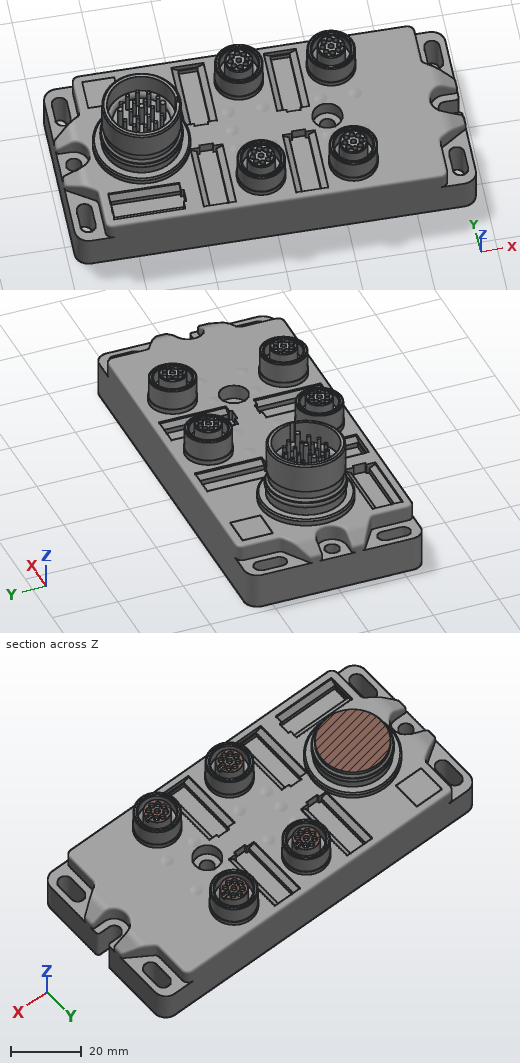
import cadquery as cq
import math

MARGIN = 0.1

LENGTH = 115.4
WIDTH = 54.0
FLANGE_Z = 11.0
TOP_Z = 15.9
BASE_CORNER_R = 4.0

MOUNT_X = 53.5
MOUNT_D = 4.4
SLOT_Y = 18.9
SLOT_LENGTH = 9.9
NOTCH_LIP_R = 0.9

BLOCK_HALF = 49.2
BLOCK_CORNER_R = 2.1
BLOCK_EDGE_R = 0.8
EAR_ROOT_Y = 13.8
EAR_ROOT_R = 1.7
EAR_TIP_Y = 8.2
EAR_SLOPE = 30.0
EAR_SLOPE_RUN = 5.3
EAR_TOP_R = 5.3
EAR_TIP_R = 1.3
POCKET_R = 4.5

SCREW_X = 19.4
SCREW_HEAD_D = 8.5
SCREW_HEAD_Z = 11.4

LABEL_LENGTH = 20.4
LABEL_WIDTH = 9.2
LABEL_FLOOR_WIDTH = 5.5
LABEL_DEPTH = 3.1
LABEL_STEP = 0.6
LABEL_SLOPE = 30.0
LABEL_CHANNEL_INSET = 0.3
LABEL_TAB_WIDTH = 3.9
LABEL_TAB_LENGTH = 0.8
LABEL_INNER_Y = 4.3
LABEL_OFFSET = 13.3
SIDE_LABEL_X = -46.5
SIDE_LABEL_Y = -19.8
SQUARE_SIZE = 9.2
SQUARE_DEPTH = 0.1

SOCKET_XS = (-2.9, 23.7)
SOCKET_Y = 17.0
SOCKET_COLLAR_D = 14.0
SOCKET_COLLAR_Z = 17.4
SOCKET_D = 13.6
SOCKET_BORE_D = 11.1
SOCKET_SHOULDER_Z = 19.6
SOCKET_RIM_Z = 23.9
SOCKET_CORE_D = 8.0
SOCKET_CORE_Z = 25.4
SOCKET_CHAMFER = 0.3
CONTACT_D = 1.5
CONTACT_CIRCLE_R = 2.4
CONTACT_COUNT = 8
CONTACT_DEPTH = 2.3
CORE_KEY_WIDTH = 1.3
CORE_KEY_DEPTH = 1.0
LAMP_D = 3.7
LAMP_HEIGHT = 0.2
LAMP_ROOT = 1.2
LAMP_Y = 6.5
LAMP_OFFSETS = (-5.0, 5.0)
MIDDLE_LAMP_X = SOCKET_XS[0] + LAMP_OFFSETS[0]

PLUG_X = -34.0
PLUG_TOP_Z = 34.9
PLUG_FLANGE_R = 13.8
PLUG_FLANGE_Z = 17.9
PLUG_BODY_R = 22.8 / 2
PLUG_BODY_Z = 22.4
PLUG_NECK_R = 21.5 / 2
PLUG_NECK_START_Z = 23.2
PLUG_HEAD_R = 22.4 / 2
PLUG_HEAD_Z = 25.8
PLUG_CHAMFER = 0.5
RING_Z = 21.2
RING_R = 0.9
RING_CENTRE_R = 10.8
CUP_R = 9.8
CUP_SHOULDER_Z = 28.0
CUP_SHOULDER_R = 1.5
CUP_FLOOR_Z = CUP_SHOULDER_Z - CUP_SHOULDER_R
CUP_KEY_WIDTH = 1.5
CUP_KEY_DEPTH = 0.6

PIN_D = 1.0
PIN_TOP_Z = 32.9
THICK_PIN_D = 1.5
THICK_PIN_TOP_Z = 34.3
OUTER_PIN_CIRCLE_R = 6.1
OUTER_PIN_COUNT = 12
INNER_PIN_CIRCLE_R = 3.1
INNER_PIN_COUNT = 6


def cylinder(x, y, z_low, z_high, diameter):
    return cq.Workplane("XY", (x, y, z_low)).circle(diameter / 2).extrude(z_high - z_low)


def ring_points(count, radius):
    step = 2 * math.pi / count
    return [(radius * math.cos(i * step), radius * math.sin(i * step)) for i in range(count)]


def base_plate():
    plate = cq.Workplane("XY").box(LENGTH, WIDTH, FLANGE_Z, (True, True, False))
    return plate.edges("|Z").fillet(BASE_CORNER_R)


def ear_profile():
    """Bar along Y whose ends slope down over the ears, for trimming the block."""
    half = LENGTH / 2
    drop = EAR_SLOPE_RUN * math.tan(math.radians(EAR_SLOPE))
    right = [(half, 0), (half, TOP_Z - drop), (half - EAR_SLOPE_RUN, TOP_Z)]
    left = [(-x, z) for x, z in reversed(right)]
    bar = cq.Workplane("XZ").polyline(right + left).close().extrude(WIDTH / 2, both=True)
    bar = bar.edges("|Y and >Z").fillet(EAR_TOP_R)
    tip_z = TOP_Z - drop
    tips = cq.selectors.BoxSelector((-LENGTH, -WIDTH, tip_z - MARGIN), (LENGTH, WIDTH, tip_z + MARGIN))
    return bar.edges("|Y").edges(tips).fillet(EAR_TIP_R)


def raised_block():
    """Block on the base plate, with pockets around the middle mounting holes and a rounded rim."""
    quarter = [(BLOCK_HALF, WIDTH / 2), (BLOCK_HALF, EAR_ROOT_Y), (LENGTH / 2, EAR_TIP_Y)]
    right = quarter + [(x, -y) for x, y in reversed(quarter)]
    left = [(-x, -y) for x, y in right]
    height = TOP_Z - FLANGE_Z
    block = cq.Workplane("XY", (0, 0, FLANGE_Z)).polyline(right + left).close().extrude(height)
    block = block.edges("|Z and (<Y or >Y)").fillet(BLOCK_CORNER_R)
    root_x = BLOCK_HALF + MARGIN
    root_y = EAR_ROOT_Y + MARGIN
    roots = cq.selectors.BoxSelector((-root_x, -root_y, 0), (root_x, root_y, TOP_Z))
    block = block.edges("|Z").edges(roots).fillet(EAR_ROOT_R)
    block = block.intersect(ear_profile())
    for side in (-1, 1):
        pocket = cylinder(side * MOUNT_X, 0, FLANGE_Z, TOP_Z, 2 * POCKET_R)
        opening = cq.Workplane("XY", (side * (MOUNT_X + POCKET_R), 0, FLANGE_Z)).box(
            2 * POCKET_R, 2 * POCKET_R, height, (True, True, False)
        )
        block = block.cut(pocket).cut(opening)

    def crosses_ear(edge):
        return edge.BoundingBox().xlen < MARGIN and abs(edge.Center().x) > root_x

    upper_edges = block.edges("not (|Z or <Z)").vals()
    rim = [edge for edge in upper_edges if not crosses_ear(edge)]
    return block.newObject(rim).fillet(BLOCK_EDGE_R)


def mounting_cuts():
    cuts = cylinder(-MOUNT_X, 0, 0, FLANGE_Z, MOUNT_D)
    ends = [(x, y) for x in (-MOUNT_X, MOUNT_X) for y in (-SLOT_Y, SLOT_Y)]
    slots = cq.Workplane("XY").pushPoints(ends).slot2D(SLOT_LENGTH, MOUNT_D, 90).extrude(FLANGE_Z)
    cuts = cuts.union(slots)
    edge_x = LENGTH / 2
    half = MOUNT_D / 2
    notch = (
        cq.Workplane("XY")
        .moveTo(edge_x, half + NOTCH_LIP_R)
        .radiusArc((edge_x - NOTCH_LIP_R, half), NOTCH_LIP_R)
        .lineTo(MOUNT_X, half)
        .threePointArc((MOUNT_X - half, 0), (MOUNT_X, -half))
        .lineTo(edge_x - NOTCH_LIP_R, -half)
        .radiusArc((edge_x, -half - NOTCH_LIP_R), NOTCH_LIP_R)
        .close()
        .extrude(FLANGE_Z)
    )
    cuts = cuts.union(notch)
    cuts = cuts.union(cylinder(SCREW_X, 0, 0, TOP_Z, MOUNT_D))
    return cuts.union(cylinder(SCREW_X, 0, SCREW_HEAD_Z, TOP_Z, SCREW_HEAD_D))


def label_cut():
    """Label pocket along +X from the origin: sloping shoulders, a deep channel and a tab at the far end."""
    half = LABEL_WIDTH / 2
    half_channel = LABEL_FLOOR_WIDTH / 2
    shoulder_z = -LABEL_STEP - (half - half_channel) * math.tan(math.radians(LABEL_SLOPE))
    profile = [
        (-half, 0),
        (-half, -LABEL_STEP),
        (-half_channel, shoulder_z),
        (half_channel, shoulder_z),
        (half, -LABEL_STEP),
        (half, 0),
    ]
    trough = cq.Workplane("YZ").polyline(profile).close().extrude(LABEL_LENGTH)
    channel = cq.Workplane("XY", (LABEL_CHANNEL_INSET, 0, -LABEL_DEPTH)).box(
        LABEL_LENGTH - LABEL_CHANNEL_INSET, LABEL_FLOOR_WIDTH, LABEL_DEPTH, (False, True, False)
    )
    tab = cq.Workplane("XY", (LABEL_LENGTH / 2, 0, -LABEL_DEPTH)).box(
        LABEL_LENGTH / 2 + LABEL_TAB_LENGTH, LABEL_TAB_WIDTH, LABEL_DEPTH, (False, True, False)
    )
    return trough.union(channel).union(tab)


def label_cuts():
    cuts = label_cut().translate((SIDE_LABEL_X, SIDE_LABEL_Y, TOP_Z))
    start_y = LABEL_INNER_Y + LABEL_LENGTH
    for socket_x in SOCKET_XS:
        for side in (-1, 1):
            pocket = label_cut().rotate((0, 0, 0), (0, 0, 1), -90 * side)
            cuts = cuts.union(pocket.translate((socket_x - LABEL_OFFSET, side * start_y, TOP_Z)))
    square = cq.Workplane("XY", (SIDE_LABEL_X, -SIDE_LABEL_Y, TOP_Z - SQUARE_DEPTH)).box(
        SQUARE_SIZE, SQUARE_SIZE, SQUARE_DEPTH, (False, True, False)
    )
    return cuts.union(square)


def socket():
    """Round socket at the origin: collar, sleeve with a rounded shoulder inside, and a core with contacts."""
    bore_r = SOCKET_BORE_D / 2
    core_r = SOCKET_CORE_D / 2
    shoulder_r = bore_r - core_r
    outer_r = SOCKET_D / 2
    collar_r = SOCKET_COLLAR_D / 2
    body = (
        cq.Workplane("XZ")
        .moveTo(0, FLANGE_Z)
        .lineTo(collar_r, FLANGE_Z)
        .lineTo(collar_r, SOCKET_COLLAR_Z)
        .lineTo(outer_r, SOCKET_COLLAR_Z)
        .lineTo(outer_r, SOCKET_RIM_Z - SOCKET_CHAMFER)
        .lineTo(outer_r - SOCKET_CHAMFER, SOCKET_RIM_Z)
        .lineTo(bore_r + SOCKET_CHAMFER, SOCKET_RIM_Z)
        .lineTo(bore_r, SOCKET_RIM_Z - SOCKET_CHAMFER)
        .lineTo(bore_r, SOCKET_SHOULDER_Z)
        .radiusArc((core_r, SOCKET_SHOULDER_Z - shoulder_r), -shoulder_r)
        .lineTo(0, SOCKET_SHOULDER_Z - shoulder_r)
        .close()
        .revolve(360, (0, 0, 0), (0, 1, 0))
    )
    core = cylinder(0, 0, FLANGE_Z, SOCKET_CORE_Z, SOCKET_CORE_D)
    core = core.faces(">Z").edges().chamfer(SOCKET_CHAMFER)
    contacts = (
        cq.Workplane("XY", (0, 0, SOCKET_CORE_Z - CONTACT_DEPTH))
        .pushPoints([(0, 0)] + ring_points(CONTACT_COUNT, CONTACT_CIRCLE_R))
        .circle(CONTACT_D / 2)
        .extrude(CONTACT_DEPTH)
    )
    key = cq.Workplane("XY", (core_r, 0, SOCKET_CORE_Z - CONTACT_DEPTH)).box(
        2 * CORE_KEY_DEPTH, CORE_KEY_WIDTH, CONTACT_DEPTH, (True, True, False)
    )
    return body.union(core.cut(contacts).cut(key))


def lamp(x, y):
    """Shallow spherical dome standing on the block."""
    radius = LAMP_D / 2
    return (
        cq.Workplane("XZ")
        .moveTo(0, -LAMP_ROOT)
        .lineTo(radius, -LAMP_ROOT)
        .lineTo(radius, 0)
        .radiusArc((0, LAMP_HEIGHT), -(radius**2 + LAMP_HEIGHT**2) / (2 * LAMP_HEIGHT))
        .close()
        .revolve(360, (0, 0, 0), (0, 1, 0))
        .translate((x, y, TOP_Z))
    )


def lamps():
    places = [(sx + dx, y) for sx in SOCKET_XS for dx in LAMP_OFFSETS for y in (-LAMP_Y, LAMP_Y)]
    places.append((MIDDLE_LAMP_X, 0))
    return [lamp(x, y) for x, y in places]


def plug_shell():
    """Plug body around the Z axis: flange, sealing ring, neck and a cup with a keyway on its +X side."""
    shell = (
        cq.Workplane("XZ")
        .moveTo(0, FLANGE_Z)
        .lineTo(PLUG_FLANGE_R, FLANGE_Z)
        .lineTo(PLUG_FLANGE_R, PLUG_FLANGE_Z - PLUG_CHAMFER)
        .lineTo(PLUG_FLANGE_R - PLUG_CHAMFER, PLUG_FLANGE_Z)
        .lineTo(PLUG_BODY_R, PLUG_FLANGE_Z)
        .lineTo(PLUG_BODY_R, PLUG_BODY_Z)
        .lineTo(PLUG_NECK_R, PLUG_NECK_START_Z)
        .lineTo(PLUG_NECK_R, PLUG_HEAD_Z)
        .lineTo(PLUG_HEAD_R, PLUG_HEAD_Z)
        .lineTo(PLUG_HEAD_R, PLUG_TOP_Z - PLUG_CHAMFER)
        .lineTo(PLUG_HEAD_R - PLUG_CHAMFER, PLUG_TOP_Z)
        .lineTo(CUP_R, PLUG_TOP_Z)
        .lineTo(CUP_R, CUP_SHOULDER_Z)
        .radiusArc((CUP_R - CUP_SHOULDER_R, CUP_FLOOR_Z), -CUP_SHOULDER_R)
        .lineTo(0, CUP_FLOOR_Z)
        .close()
        .revolve(360, (0, 0, 0), (0, 1, 0))
    )
    ring = cq.Workplane("XZ").center(RING_CENTRE_R, RING_Z).circle(RING_R)
    ring = ring.revolve(360, (-RING_CENTRE_R, 0, 0), (-RING_CENTRE_R, 1, 0))
    key = cq.Workplane("XY", (0, 0, CUP_SHOULDER_Z)).box(
        CUP_R + CUP_KEY_DEPTH, CUP_KEY_WIDTH, PLUG_TOP_Z - CUP_SHOULDER_Z, (False, True, False)
    )
    return shell.union(ring).cut(key)


def plug_pins():
    outer = ring_points(OUTER_PIN_COUNT, OUTER_PIN_CIRCLE_R)
    opposite = OUTER_PIN_COUNT // 2
    thick = [(0, 0), outer[0], outer[opposite]]
    thin = outer[1:opposite] + outer[opposite + 1:] + ring_points(INNER_PIN_COUNT, INNER_PIN_CIRCLE_R)
    pins = [cylinder(x, y, CUP_FLOOR_Z, PIN_TOP_Z, PIN_D) for x, y in thin]
    return pins + [cylinder(x, y, CUP_FLOOR_Z, THICK_PIN_TOP_Z, THICK_PIN_D) for x, y in thick]


result = base_plate().union(raised_block()).cut(label_cuts()).cut(mounting_cuts())
for x in SOCKET_XS:
    for y in (-SOCKET_Y, SOCKET_Y):
        result = result.union(socket().translate((x, y, 0)))
for dome in lamps():
    result = result.union(dome)
plug = plug_shell()
for pin in plug_pins():
    plug = plug.union(pin)
result = result.union(plug.translate((PLUG_X, 0, 0)))